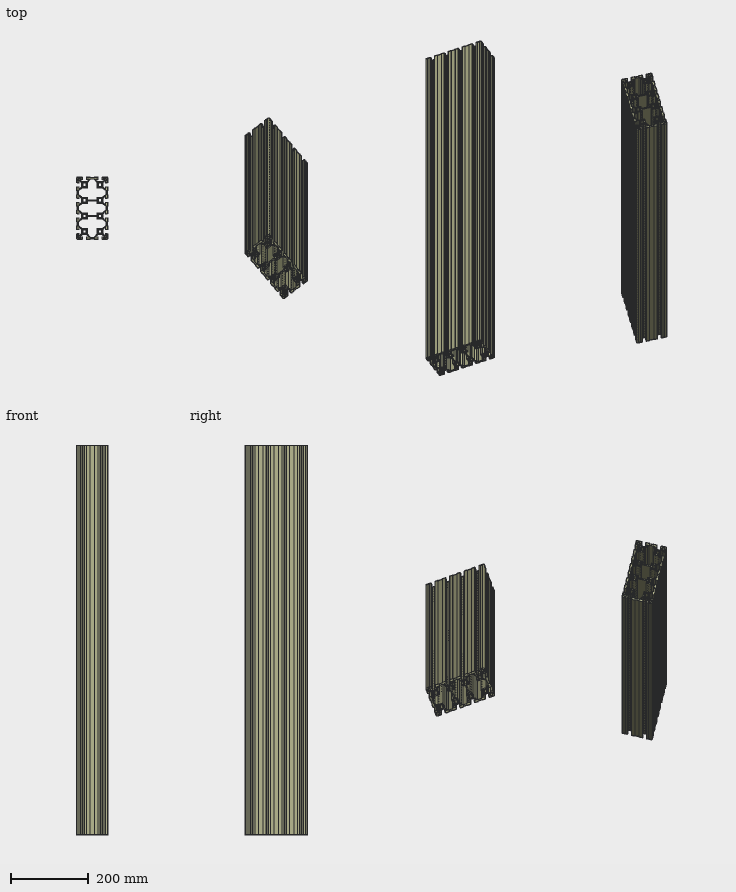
import cadquery as cq

MODULE = 40.0
COLUMNS = 2
ROWS = 4
LENGTH = 1000.0
WIDTH = COLUMNS * MODULE
HEIGHT = ROWS * MODULE
CORNER_RADIUS = 3.0

CORE_HALF = 8.0

BORE_SIZE = 10.6
BORE_RIB_WIDTH = 6.2
BORE_RIB_HEIGHT = 1.0

SLOT_HALF = 5.0
LIP_STEP_HALF = 5.8
LIP_STEP_DEPTH = 1.5
LIP_THICKNESS = 6.2
CAVITY_HALF = 10.8
CAVITY_SHOULDER_DEPTH = 8.1
SLOT_DEPTH = MODULE / 2 - CORE_HALF
FLOOR_HALF = 5.6
SCRIBE_HALF = 0.6
SCRIBE_DEPTH = 0.7

RECESS_HALF = 5.8
RECESS_DEPTH = 1.0

HOLLOW_HALF = MODULE / 2 - CORE_HALF
POCKET_TIP_HALF = 5.6
POCKET_TIP_DEPTH = 5.25
POCKET_SHOULDER_DEPTH = 14.0

WEB_THICKNESS = 3.2

CHANNEL_NEAR_DEPTH = 1.85
CHANNEL_FAR_DEPTH = 3.95
CHANNEL_START = 5.55
CHANNEL_END = 9.95


def centres(count):
    """Module centres along a side of that many modules."""
    return [(index - (count - 1) / 2) * MODULE for index in range(count)]


def joints(count):
    """Joints between neighbouring modules along a side of that many modules."""
    return [(index - count / 2) * MODULE for index in range(1, count)]


def moved_to(face, x, y):
    return face.moved(cq.Location(cq.Vector(x, y, 0)))


def rectangle(x_size, y_size, x=0.0, y=0.0):
    """Flat rectangle in the XY plane, centred on (x, y)."""
    return cq.Face.makePlane(y_size, x_size, (x, y, 0))


def symmetric_face(half_outline):
    """Flat face, symmetric about Y, from (across, depth) points with depth along -Y."""
    right = [cq.Vector(across, -depth) for across, depth in half_outline]
    left = [cq.Vector(-point.x, point.y) for point in reversed(right)]
    return cq.Face.makeFromWires(cq.Wire.makePolygon(right + left, close=True))


def on_outer_faces(face, places):
    """Copies of the face let into all four sides at the places listed for each side."""
    sides = [
        (0, COLUMNS, HEIGHT / 2),
        (90, ROWS, WIDTH / 2),
        (180, COLUMNS, HEIGHT / 2),
        (270, ROWS, WIDTH / 2),
    ]
    copies = []
    for angle, count, reach in sides:
        turn = cq.Location(cq.Vector(), cq.Vector(0, 0, 1), angle)
        for place in places(count):
            shift = cq.Location(cq.Vector(place, reach, 0))
            copies.append(face.moved(turn * shift))
    return copies


def slots():
    outline = [
        (LIP_STEP_HALF, 0),
        (LIP_STEP_HALF, LIP_STEP_DEPTH),
        (SLOT_HALF, LIP_STEP_DEPTH),
        (SLOT_HALF, LIP_THICKNESS),
        (CAVITY_HALF, LIP_THICKNESS),
        (CAVITY_HALF, CAVITY_SHOULDER_DEPTH),
        (FLOOR_HALF, SLOT_DEPTH),
        (SCRIBE_HALF, SLOT_DEPTH),
        (SCRIBE_HALF, SLOT_DEPTH + SCRIBE_DEPTH),
    ]
    return on_outer_faces(symmetric_face(outline), centres)


def recesses():
    outline = [(RECESS_HALF, 0), (RECESS_HALF, RECESS_DEPTH)]
    return on_outer_faces(symmetric_face(outline), joints)


def pockets():
    """Pockets deep enough to meet along the middle of the section."""
    outline = [
        (POCKET_TIP_HALF, POCKET_TIP_DEPTH),
        (HOLLOW_HALF, POCKET_SHOULDER_DEPTH),
        (HOLLOW_HALF, MODULE),
    ]
    return on_outer_faces(symmetric_face(outline), joints)


def web_gaps():
    """Spaces above and below each web, between the cores of an inner row."""
    gap = CORE_HALF - WEB_THICKNESS / 2
    offset = CORE_HALF - gap / 2
    gaps = []
    for row_y in centres(ROWS)[1:-1]:
        for side in (-1, 1):
            gaps.append(rectangle(2 * HOLLOW_HALF, gap, y=row_y + side * offset))
    return gaps


def corner_channels():
    depth_size = CHANNEL_FAR_DEPTH - CHANNEL_NEAR_DEPTH
    depth_centre = (CHANNEL_FAR_DEPTH + CHANNEL_NEAR_DEPTH) / 2
    along_size = CHANNEL_END - CHANNEL_START
    along_centre = (CHANNEL_END + CHANNEL_START) / 2
    channels = []
    for x_side in (-1, 1):
        for y_side in (-1, 1):
            side_x = x_side * (WIDTH / 2 - depth_centre)
            side_y = y_side * (HEIGHT / 2 - along_centre)
            channels.append(rectangle(depth_size, along_size, side_x, side_y))
            end_x = x_side * (WIDTH / 2 - along_centre)
            end_y = y_side * (HEIGHT / 2 - depth_centre)
            channels.append(rectangle(along_size, depth_size, end_x, end_y))
    return channels


def bores():
    rib_offset = (BORE_SIZE - BORE_RIB_HEIGHT) / 2
    ribs = []
    for side in (-1, 1):
        ribs.append(rectangle(BORE_RIB_HEIGHT, BORE_RIB_WIDTH, x=side * rib_offset))
        ribs.append(rectangle(BORE_RIB_WIDTH, BORE_RIB_HEIGHT, y=side * rib_offset))
    bore = rectangle(BORE_SIZE, BORE_SIZE).cut(*ribs).Faces()[0]
    return [moved_to(bore, x, y) for x in centres(COLUMNS) for y in centres(ROWS)]


def blank_section():
    """Plain rounded rectangle that encloses the whole section."""
    blank = rectangle(WIDTH, HEIGHT)
    return blank.fillet2D(CORNER_RADIUS, blank.Vertices())


cutters = slots() + recesses() + pockets() + web_gaps() + corner_channels() + bores()
section = blank_section().cut(*cutters).Faces()[0]
profile = cq.Solid.extrudeLinear(section, cq.Vector(0, 0, LENGTH))
result = cq.Workplane("XY").newObject([profile.clean()])